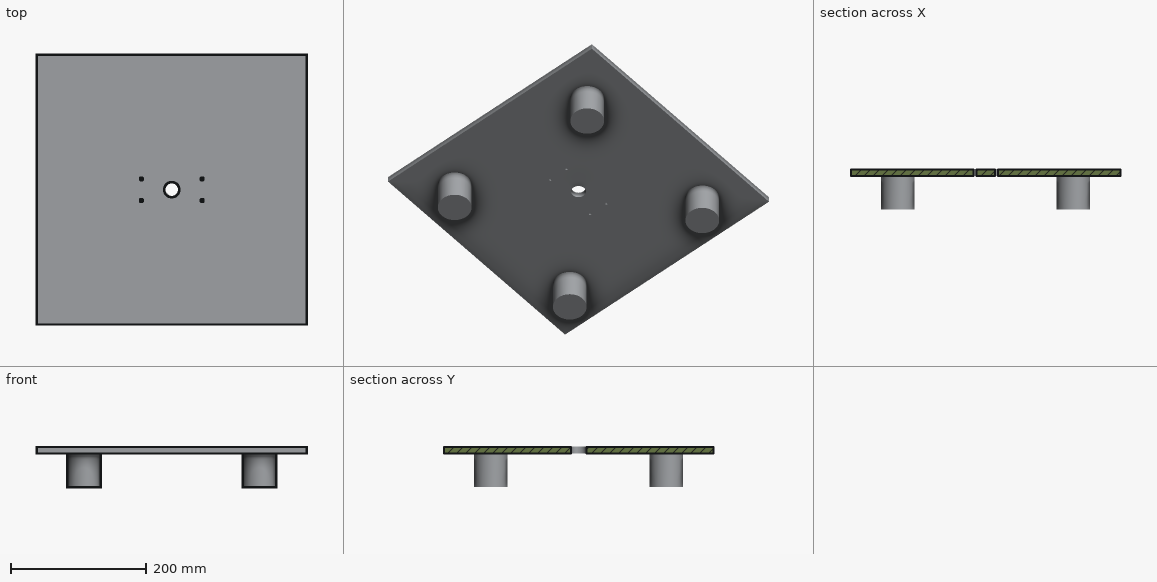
import cadquery as cq

plate_side = 400.0
plate_thickness = 10.0

leg_diameter = 50.0
leg_height = 50.0
leg_spacing = 260.0

center_hole_diameter = 22.0
screw_hole_diameter = 4.0
screw_spacing_x = 90.0
screw_spacing_y = 32.0


def make_plate():
    """Plate resting on the leg tops, pierced by a center hole and four screw holes."""
    base = cq.Workplane("XY").workplane(offset=leg_height)
    plate = base.rect(plate_side, plate_side).extrude(plate_thickness)
    plate = plate.faces(">Z").workplane().hole(center_hole_diameter)
    return (
        plate.faces(">Z")
        .workplane()
        .rect(screw_spacing_x, screw_spacing_y, forConstruction=True)
        .vertices()
        .hole(screw_hole_diameter)
    )


def make_legs():
    """Four solid cylindrical legs standing on Z = 0."""
    return (
        cq.Workplane("XY")
        .rect(leg_spacing, leg_spacing, forConstruction=True)
        .vertices()
        .circle(leg_diameter / 2)
        .extrude(leg_height)
    )


result = make_plate().union(make_legs())